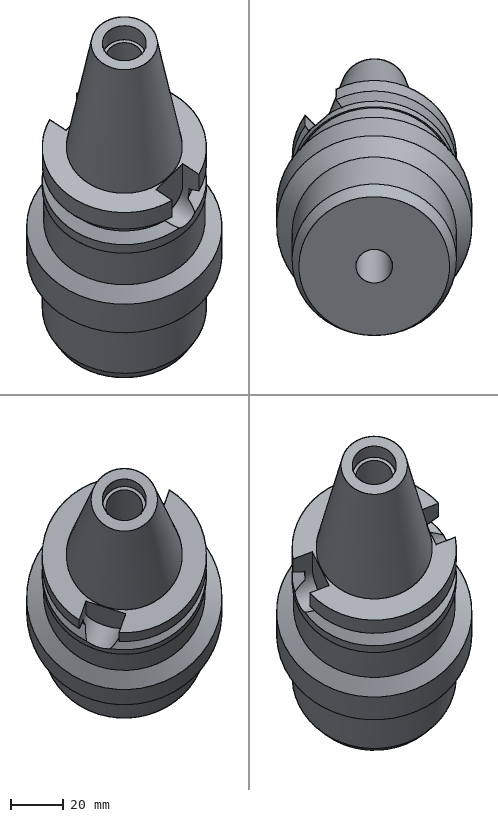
import cadquery as cq

total_height = 175.4

gauge_radius = 22.3
gauge_z = 110.0
taper_per_side = 7 / 48
taper_tip_radius = gauge_radius - (total_height - gauge_z) * taper_per_side

flange_radius = 31.5
flange_top_z = 109.1
flange_bottom_z = 83.1
groove_radius = 26.8
groove_upper_edge_z = 98.5
groove_upper_floor_z = 95.5
groove_lower_floor_z = 91.0
groove_lower_edge_z = 88.5

neck_radius = 31.0
collar_radius = 37.5
collar_upper_slope_z = 62.3
collar_top_z = 58.4
collar_bottom_z = 40.2
collar_lower_slope_z = 33.2
nose_radius = 31.5
nose_end_radius = 29.0
nose_chamfer_height = 6.3

slot_width = 16.1
slot_floor_x = 22.5
slot_bottom_z = 87.0
slot_cutter_depth = flange_radius

bore_radius = 7.0
counterbore_radius = 8.5
counterbore_depth = 9.0


def turned_body():
    profile = [
        (0, 0),
        (nose_end_radius, 0),
        (nose_radius, nose_chamfer_height),
        (nose_radius, collar_lower_slope_z),
        (collar_radius, collar_bottom_z),
        (collar_radius, collar_top_z),
        (neck_radius, collar_upper_slope_z),
        (neck_radius, flange_bottom_z),
        (flange_radius, flange_bottom_z),
        (flange_radius, groove_lower_edge_z),
        (groove_radius, groove_lower_floor_z),
        (groove_radius, groove_upper_floor_z),
        (flange_radius, groove_upper_edge_z),
        (flange_radius, flange_top_z),
        (gauge_radius, flange_top_z),
        (gauge_radius, gauge_z),
        (taper_tip_radius, total_height),
        (0, total_height),
    ]
    return cq.Workplane("XZ").polyline(profile).close().revolve(360, (0, 0, 0), (0, 1, 0))


def drive_slot(side):
    """Cutter for one drive slot; side is +1 for +X or -1 for -X."""
    half_width = slot_width / 2
    arc_center_z = slot_bottom_z + half_width
    return (
        cq.Workplane("YZ", origin=(side * slot_floor_x, 0, 0))
        .moveTo(-half_width, flange_top_z)
        .lineTo(-half_width, arc_center_z)
        .threePointArc((0, slot_bottom_z), (half_width, arc_center_z))
        .lineTo(half_width, flange_top_z)
        .close()
        .extrude(side * slot_cutter_depth)
    )


def stepped_bore():
    through_hole = cq.Workplane("XY").circle(bore_radius).extrude(total_height)
    counterbore = (
        cq.Workplane("XY", origin=(0, 0, total_height))
        .circle(counterbore_radius)
        .extrude(-counterbore_depth)
    )
    return through_hole.union(counterbore)


result = turned_body().cut(stepped_bore())
for side in (-1, 1):
    result = result.cut(drive_slot(side))